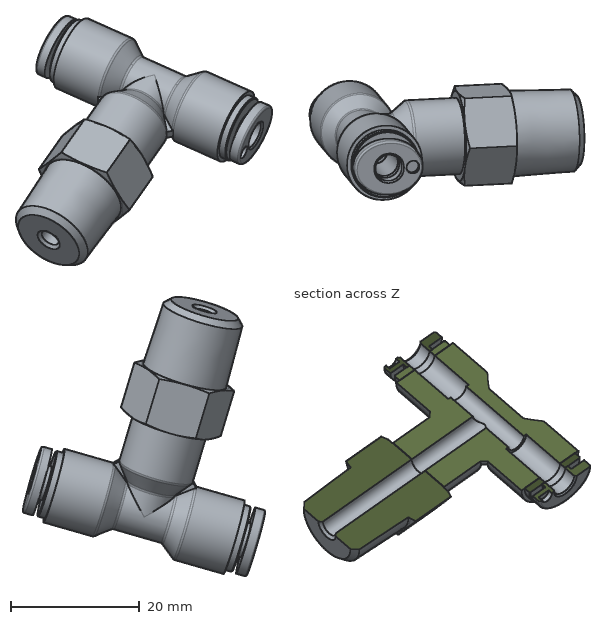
import cadquery as cq
import math


overall_length = 39.45

barrel_d = 11.9
waist_d = 7.95
waist_end = 4.0
cone_end = 6.5
cone_blend_r = 0.6
arm_length = 14.55
branch_length = 14.45
web_reach = 6.7
web_thickness = 1.55
run_bore_d = 3.2
tube_bore_d = 4.2
tube_stop = 6.7

collar_d = 10.6
collar_length = 1.2
collar_chamfer = 0.15

sleeve_end = 18.1
flange_width = 10.8
flange_height = 8.68
flange_thickness = 1.65
flange_fillet = 0.3
neck_d = 5.5
mouth_chamfer = 0.28
pit_d = 2.0
pit_offset = 3.8
pit_depth = 0.8

hex_across_flats = 14.0
hex_length = 8.1
seat_chamfer_depth = 0.4
thread_chamfer_depth = 0.28
thread_root_d = 13.45
thread_taper = 1 / 16
tip_chamfer = 1.0
stud_bore_d = 3.0
countersink_d = 4.0

collar_start = arm_length
collar_end = collar_start + collar_length
stud_end = overall_length - barrel_d / 2
hex_end = branch_length + hex_length
hex_corner_r = hex_across_flats / math.sqrt(3)
sides = (1, -1)


def outward(direction, distance):
    """Workplane across the axis `direction`, `distance` away from the centre, facing outwards."""
    origin = tuple(distance * part for part in direction)
    return cq.Workplane(cq.Plane(origin=origin, xDir=(0, 0, 1), normal=direction))


def make_limb(direction, length):
    """Solid arm or branch: waist, cone and barrel, from the centre outwards."""
    limb = (
        cq.Workplane("XZ")
        .polyline([
            (0, 0),
            (waist_d / 2, 0),
            (waist_d / 2, waist_end),
            (barrel_d / 2, cone_end),
            (barrel_d / 2, length),
            (0, length),
        ])
        .close()
        .revolve(360, (0, 0), (0, 1))
        .faces("%CONE").edges("%CIRCLE").fillet(cone_blend_r)
    )
    return cq.Workplane(limb.val().located(cq.Location(outward(direction, 0).plane)))


def make_web(side):
    """Flat web in the corner between one arm and the branch."""
    return (
        cq.Workplane("XY")
        .polyline([
            (0, 0),
            (side * web_reach, -barrel_d / 2),
            (side * barrel_d / 2, -web_reach),
        ])
        .close()
        .extrude(web_thickness / 2, both=True)
    )


def make_tee_body():
    body = make_limb((0, -1, 0), branch_length)
    for side in sides:
        body = body.union(make_limb((side, 0, 0), arm_length)).union(make_web(side))
    body = body.cut(outward((0, -1, 0), 0).circle(stud_bore_d / 2).extrude(branch_length))
    for side in sides:
        axis = (side, 0, 0)
        body = body.cut(outward(axis, 0).circle(run_bore_d / 2).extrude(tube_stop))
        body = body.cut(outward(axis, tube_stop).circle(tube_bore_d / 2).extrude(arm_length - tube_stop))
    return body


def make_collar(side):
    return (
        outward((side, 0, 0), collar_start)
        .circle(collar_d / 2)
        .extrude(collar_length)
        .faces(">X" if side > 0 else "<X").chamfer(collar_chamfer)
        .cut(outward((side, 0, 0), collar_start).circle(tube_bore_d / 2).extrude(collar_length))
    )


def make_sleeve(side):
    """Release sleeve: oval flange on a round neck that stands on the collar."""
    axis = (side, 0, 0)
    outer_face = ">X" if side > 0 else "<X"
    sleeve_length = sleeve_end - collar_end
    flange = (
        outward(axis, sleeve_end - flange_thickness)
        .ellipse(flange_height / 2, flange_width / 2)
        .extrude(flange_thickness)
        .faces(outer_face).edges().fillet(flange_fillet)
    )
    neck = outward(axis, collar_end).circle(neck_d / 2).extrude(sleeve_length - flange_thickness)
    bore = outward(axis, collar_end).circle(tube_bore_d / 2).extrude(sleeve_length)
    sleeve = flange.union(neck).cut(bore)
    sleeve = sleeve.faces(outer_face).edges("%CIRCLE").chamfer(mouth_chamfer)
    pit = (
        cq.Workplane("YZ", origin=(side * sleeve_end, -pit_offset, 0))
        .circle(pit_d / 2)
        .extrude(-side * pit_depth)
    )
    return sleeve.cut(pit)


def make_hex():
    """Hexagon with corners on the X axis and both ends chamfered by cones."""
    flat_r = hex_across_flats / 2
    half_sector = 360 / 6 / 2
    prism = (
        outward((0, -1, 0), branch_length)
        .polygon(6, 2 * hex_corner_r)
        .extrude(hex_length)
        .rotate((0, 0, 0), (0, 1, 0), half_sector)
    )
    chamfer_envelope = (
        cq.Workplane("XY")
        .polyline([
            (0, -branch_length),
            (flat_r, -branch_length),
            (hex_corner_r, -branch_length - seat_chamfer_depth),
            (hex_corner_r, -hex_end + thread_chamfer_depth),
            (flat_r, -hex_end),
            (0, -hex_end),
        ])
        .close()
        .revolve(360, (0, 0), (0, 1))
    )
    return prism.intersect(chamfer_envelope)


def make_stud():
    """Hex with a tapered thread blank, drilled through and countersunk at the tip."""
    taper_length = stud_end - tip_chamfer - hex_end
    thread_end_r = (thread_root_d - thread_taper * taper_length) / 2
    thread = (
        cq.Workplane("XY")
        .polyline([
            (0, -hex_end),
            (thread_root_d / 2, -hex_end),
            (thread_end_r, -stud_end + tip_chamfer),
            (thread_end_r - tip_chamfer, -stud_end),
            (0, -stud_end),
        ])
        .close()
        .revolve(360, (0, 0), (0, 1))
    )
    bore = outward((0, -1, 0), branch_length).circle(stud_bore_d / 2).extrude(stud_end - branch_length)
    stud = make_hex().union(thread).cut(bore)
    countersink = (countersink_d - stud_bore_d) / 2
    return stud.faces("<Y").edges(cq.selectors.RadiusNthSelector(0)).chamfer(countersink)


tee_body = make_tee_body()
stud = make_stud()
collars = [make_collar(side) for side in sides]
sleeves = [make_sleeve(side) for side in sides]

result = cq.Compound.makeCompound(
    [body.solids().val() for body in [tee_body, stud, *collars, *sleeves]]
)